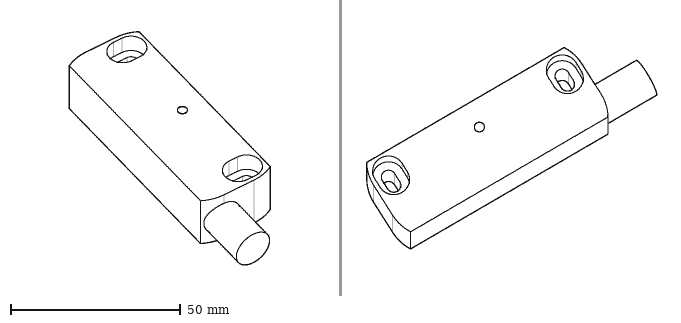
import cadquery as cq
import math

total_length = 87.5
body_length = 72.0
body_width = 25.0
body_height = 18.0

end_flat_width = 10.85
end_arc_radius = 14.3

cable_diameter = 12.0
cable_y = -5.7
cable_z = -0.5

slot_spacing = 60.0
slot_y = 5.3
slot_travel = 3.0
slot_width = 4.2
head_recess_width = 9.4
head_recess_depth = 6.0

light_diameter = 3.0
light_y = 4.55
light_depth = 0.2

body_center_x = (body_length - total_length) / 2
top_z = body_height / 2


def make_body():
    """Rectangular housing with bowed ends, extruded along Z."""
    half_length = body_length / 2
    half_width = body_width / 2
    half_flat = end_flat_width / 2

    arc_rise = half_width - half_flat
    arc_angle = math.asin(arc_rise / end_arc_radius)
    arc_center_x = half_length - end_arc_radius
    corner_x = arc_center_x + end_arc_radius * math.cos(arc_angle)
    arc_mid_x = arc_center_x + end_arc_radius * math.cos(arc_angle / 2)
    arc_mid_y = half_flat + end_arc_radius * math.sin(arc_angle / 2)

    return (
        cq.Workplane("XY")
        .workplane(offset=-top_z)
        .center(body_center_x, 0)
        .moveTo(-corner_x, -half_width)
        .lineTo(corner_x, -half_width)
        .threePointArc((arc_mid_x, -arc_mid_y), (half_length, -half_flat))
        .lineTo(half_length, half_flat)
        .threePointArc((arc_mid_x, arc_mid_y), (corner_x, half_width))
        .lineTo(-corner_x, half_width)
        .threePointArc((-arc_mid_x, arc_mid_y), (-half_length, half_flat))
        .lineTo(-half_length, -half_flat)
        .threePointArc((-arc_mid_x, -arc_mid_y), (-corner_x, -half_width))
        .close()
        .extrude(body_height)
    )


def make_cable():
    """Round cable outlet, started inside the housing so it meets the bowed end."""
    return (
        cq.Workplane("YZ")
        .workplane(offset=body_center_x)
        .center(cable_y, cable_z)
        .circle(cable_diameter / 2)
        .extrude(total_length / 2 - body_center_x)
    )


def slot_cutter(width, depth):
    """Pair of slots along Y, cut down from the top face."""
    return (
        cq.Workplane("XY")
        .workplane(offset=top_z)
        .center(body_center_x, slot_y)
        .pushPoints([(-slot_spacing / 2, 0), (slot_spacing / 2, 0)])
        .slot2D(slot_travel + width, width, angle=90)
        .extrude(-depth)
    )


def light_cutter():
    """Shallow round recess for the indicator light."""
    return (
        cq.Workplane("XY")
        .workplane(offset=top_z)
        .center(body_center_x, light_y)
        .circle(light_diameter / 2)
        .extrude(-light_depth)
    )


result = (
    make_body()
    .union(make_cable())
    .cut(slot_cutter(slot_width, body_height))
    .cut(slot_cutter(head_recess_width, head_recess_depth))
    .cut(light_cutter())
)